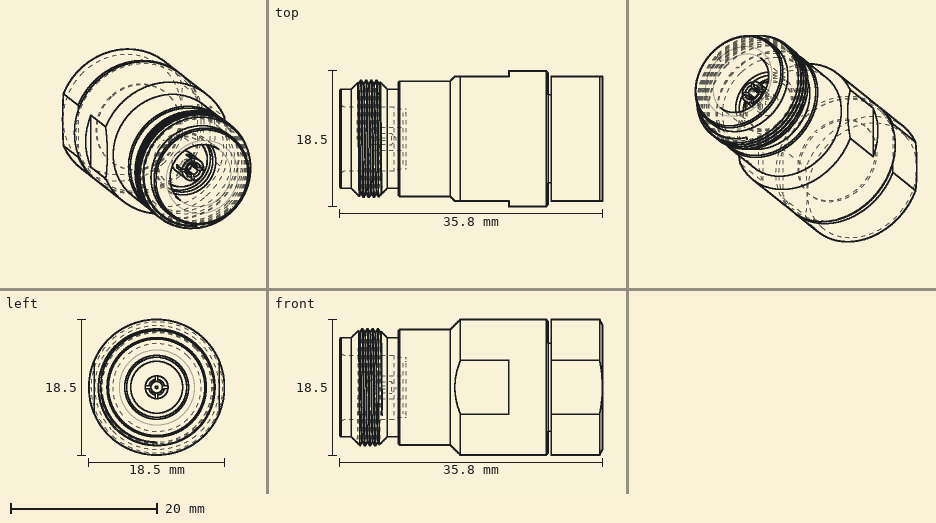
import cadquery as cq
import math

length = 35.8

sleeve_radius = 6.77
edge_break = 0.2

thread_radius = 7.95
thread_start = 1.6
thread_end = 6.47
thread_cone = thread_radius - sleeve_radius
thread_pitch = 0.707
thread_depth = 0.48
thread_root_width = 0.05
thread_half_angle = math.radians(30)
groove_start = 2.377
groove_turns = 5
groove_overshoot = 0.1
thread_tube_bore_radius = 6.0
thread_tube_margin = 0.6
envelope_clearance = 1.0
envelope_radius = thread_radius + envelope_clearance

collar_start = 8.0
collar_radius = 7.87

body_radius = 9.25
body_cone_start = 15.05
body_cylinder_start = body_cone_start + body_radius - collar_radius
body_end = 28.4
body_end_chamfer = 0.3
body_flats_end = 23.05

gap_radius = 6.0
nut_start = 28.8
nut_chamfer_length = 0.4
nut_chamfer_depth = 0.8

across_flats = 17.0

mouth_round = 0.77
mouth_radius = 4.35
socket_radius = 4.09
taper_start = 7.4
taper_end = 7.9
socket_depth = 9.0
insulator_radius = 3.54
insulator_depth = 8.6

contact_radius = 1.55
contact_tip = 4.0
contact_bore_radius = 0.79
contact_mouth_radius = 1.07
contact_bore_depth = 3.0
bore_tip_radius = 0.17
slot_width = 0.35
slot_depth = 2.5


def turn(profile):
    """Revolve an (X, radius) profile about the X axis."""
    return profile.close().revolve(360, (0, 0, 0), (1, 0, 0))


def make_body():
    profile = (
        cq.Workplane("XY")
        .moveTo(0, 0)
        .lineTo(0, sleeve_radius - edge_break)
        .lineTo(edge_break, sleeve_radius)
        .lineTo(collar_start, sleeve_radius)
        .lineTo(collar_start, collar_radius - edge_break)
        .lineTo(collar_start + edge_break, collar_radius)
        .lineTo(body_cone_start, collar_radius)
        .lineTo(body_cylinder_start, body_radius)
        .lineTo(body_end - body_end_chamfer, body_radius)
        .lineTo(body_end, body_radius - body_end_chamfer)
        .lineTo(body_end, gap_radius)
        .lineTo(nut_start, gap_radius)
        .lineTo(nut_start, body_radius)
        .lineTo(length - nut_chamfer_length, body_radius)
        .lineTo(length, body_radius - nut_chamfer_depth)
        .lineTo(length, 0)
    )
    return turn(profile)


def make_flat_cutter(start, end, side):
    """Block that removes everything beyond one wrench flat."""
    thickness = body_radius
    return cq.Workplane("XY").box(end - start, thickness, 2 * body_radius).translate(
        ((start + end) / 2, side * (across_flats + thickness) / 2, 0)
    )


def make_thread_groove():
    """Right-hand helical V groove, swept about Z and then laid along X."""
    root_radius = thread_radius - thread_depth
    outer_radius = thread_radius + groove_overshoot
    root_half = thread_root_width / 2
    outer_half = root_half + (outer_radius - root_radius) * math.tan(thread_half_angle)
    path = cq.Wire.makeHelix(thread_pitch, groove_turns * thread_pitch, root_radius)
    groove = (
        cq.Workplane("XZ")
        .moveTo(root_radius, -root_half)
        .lineTo(outer_radius, -outer_half)
        .lineTo(outer_radius, outer_half)
        .lineTo(root_radius, root_half)
        .close()
        .sweep(cq.Workplane(path), isFrenet=True)
    )
    return groove.rotate((0, 0, 0), (0, 1, 0), 90).translate((groove_start, 0, 0))


def make_thread():
    """Grooved tube trimmed by its end cones, reaching into the sleeve so that the two join."""
    tube_length = thread_end - thread_start + 2 * thread_tube_margin
    tube = (
        cq.Workplane("YZ")
        .workplane(offset=thread_start - thread_tube_margin)
        .circle(thread_radius)
        .circle(thread_tube_bore_radius)
        .extrude(tube_length)
    )
    envelope = turn(
        cq.Workplane("XY")
        .moveTo(thread_start, 0)
        .lineTo(thread_start, sleeve_radius)
        .lineTo(thread_start + thread_cone, thread_radius)
        .lineTo(thread_start + thread_cone, envelope_radius)
        .lineTo(thread_end - thread_cone, envelope_radius)
        .lineTo(thread_end - thread_cone, thread_radius)
        .lineTo(thread_end, sleeve_radius)
        .lineTo(thread_end, 0)
    )
    return tube.cut(make_thread_groove()).intersect(envelope)


def make_socket():
    """Rounded mouth tapering into the bore, with the insulator face at its floor."""
    profile = (
        cq.Workplane("XY")
        .moveTo(0, 0)
        .lineTo(0, mouth_radius + mouth_round)
        .radiusArc((mouth_round, mouth_radius), -mouth_round)
        .lineTo(taper_start, mouth_radius)
        .lineTo(taper_end, socket_radius)
        .lineTo(socket_depth, socket_radius)
        .lineTo(socket_depth, insulator_radius)
        .lineTo(insulator_depth, insulator_radius)
        .lineTo(insulator_depth, 0)
    )
    return turn(profile)


def make_contact():
    """Centre contact with a countersunk blind bore and four radial slots."""
    countersink = contact_mouth_radius - contact_bore_radius
    bore_end = contact_tip + contact_bore_depth
    bore_tip = bore_end + contact_bore_radius - bore_tip_radius
    profile = (
        cq.Workplane("XY")
        .moveTo(contact_tip, contact_mouth_radius)
        .lineTo(contact_tip, contact_radius)
        .lineTo(socket_depth, contact_radius)
        .lineTo(socket_depth, 0)
        .lineTo(bore_tip, 0)
        .lineTo(bore_tip, bore_tip_radius)
        .lineTo(bore_end, contact_bore_radius)
        .lineTo(contact_tip + countersink, contact_bore_radius)
    )
    contact = turn(profile)
    slot = cq.Workplane("XY").box(slot_depth, 2 * contact_radius, slot_width)
    slot = slot.translate((contact_tip + slot_depth / 2, 0, 0))
    for angle in (0, 90):
        contact = contact.cut(slot.rotate((0, 0, 0), (1, 0, 0), angle))
    return contact


result = make_body().union(make_thread())
for flat_side in (-1, 1):
    result = result.cut(make_flat_cutter(body_cone_start, body_flats_end, flat_side))
    result = result.cut(make_flat_cutter(nut_start, length, flat_side))
result = result.cut(make_socket()).union(make_contact())